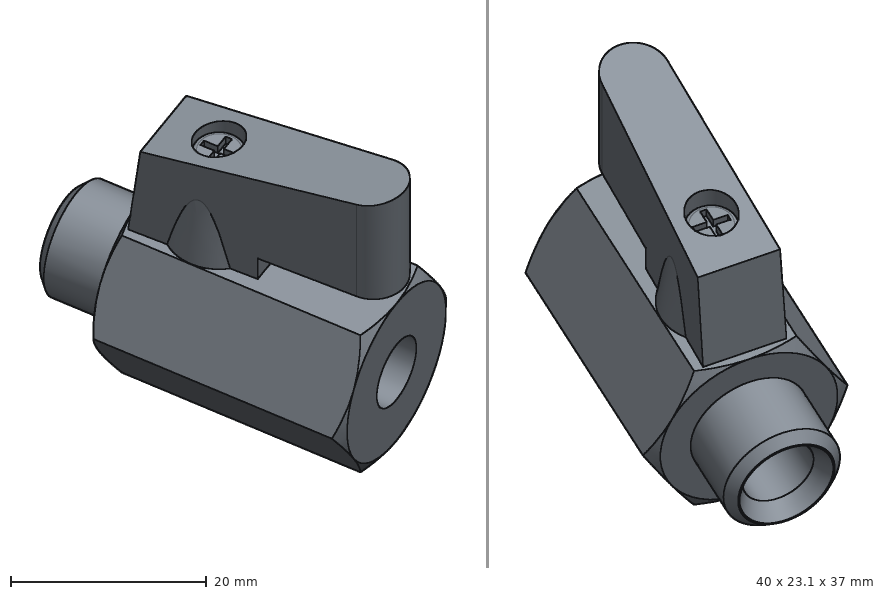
import cadquery as cq
import math


hex_flats = 20.0
hex_start = 9.0
hex_length = 30.0
hex_corners = hex_flats / math.cos(math.radians(30))
hex_chamfer_angle = 30.0
spigot_diameter = 13.15
spigot_chamfer = 1.1
bore_diameter = 8.0
bore_mouth_diameter = 10.55
bore_mouth_depth = 2.0

overall_length = 40.0
seat_z = hex_flats / 2
handle_base_x = 10.0
handle_back_top_x = 11.4
handle_back_top_z = 22.0
handle_tip_z = 27.0
grip_clearance = 3.0
foot_end_x = 25.0
handle_back_width = 9.4
nose_radius = 3.7
boss_x = 18.0
boss_base_diameter = 11.45
boss_top_diameter = 7.8
boss_height = 11.3

head_diameter = 5.6
head_top_z = 21.6
head_height = 2.0
head_edge_round = 0.5
cross_length = 3.95
cross_width = 0.7
cross_depth = 1.0


def make_hex_block():
    """Hexagonal bar along X, flats up and down, with its corners coned off at both ends."""
    bar = (
        cq.Workplane("YZ")
        .workplane(offset=hex_start)
        .polygon(6, hex_corners)
        .extrude(hex_length)
    )
    hex_end = hex_start + hex_length
    face_radius = hex_flats / 2
    corner_radius = hex_corners / 2
    chamfer_length = (corner_radius - face_radius) * math.tan(math.radians(hex_chamfer_angle))
    envelope = (
        cq.Workplane("XY")
        .moveTo(hex_start, 0)
        .lineTo(hex_start, face_radius)
        .lineTo(hex_start + chamfer_length, corner_radius)
        .lineTo(hex_end - chamfer_length, corner_radius)
        .lineTo(hex_end, face_radius)
        .lineTo(hex_end, 0)
        .close()
        .revolve(360, (0, 0, 0), (1, 0, 0))
    )
    return bar.intersect(envelope)


def make_bore():
    """Through bore with a conical mouth at the spigot end."""
    hex_end = hex_start + hex_length
    return (
        cq.Workplane("XY")
        .lineTo(0, bore_mouth_diameter / 2)
        .lineTo(bore_mouth_depth, bore_diameter / 2)
        .lineTo(hex_end, bore_diameter / 2)
        .lineTo(hex_end, 0)
        .close()
        .revolve(360, (0, 0, 0), (1, 0, 0))
    )


def make_housing():
    """Hexagonal valve housing with a round spigot."""
    spigot = (
        cq.Workplane("YZ")
        .circle(spigot_diameter / 2)
        .extrude(hex_start)
        .faces("<X")
        .chamfer(spigot_chamfer)
    )
    return make_hex_block().union(spigot).cut(make_bore())


def make_lever():
    """Tapered lever: the side outline limited by the plan outline."""
    grip_z = seat_z + grip_clearance
    side = (
        cq.Workplane("XZ")
        .moveTo(handle_base_x, seat_z)
        .lineTo(foot_end_x, seat_z)
        .lineTo(foot_end_x, grip_z)
        .lineTo(overall_length, grip_z)
        .lineTo(overall_length, handle_tip_z)
        .lineTo(handle_back_top_x, handle_back_top_z)
        .close()
        .extrude(handle_back_width / 2, both=True)
    )

    half_width = handle_back_width / 2
    nose_x = overall_length - nose_radius
    run = nose_x - handle_base_x
    corner_distance = math.hypot(run, half_width)
    tangent_angle = math.atan2(half_width, -run) - math.acos(nose_radius / corner_distance)
    tangent_x = nose_x + nose_radius * math.cos(tangent_angle)
    tangent_y = nose_radius * math.sin(tangent_angle)
    plan = (
        cq.Workplane("XY")
        .workplane(offset=seat_z)
        .moveTo(handle_base_x, -half_width)
        .lineTo(tangent_x, -tangent_y)
        .threePointArc((overall_length, 0), (tangent_x, tangent_y))
        .lineTo(handle_base_x, half_width)
        .close()
        .extrude(handle_tip_z - seat_z)
    )
    return side.intersect(plan)


def make_handle():
    """Lever with a conical boss around the screw recess."""
    boss = cq.Workplane(
        cq.Solid.makeCone(
            boss_base_diameter / 2,
            boss_top_diameter / 2,
            boss_height,
            cq.Vector(boss_x, 0, seat_z),
        )
    )
    recess = (
        cq.Workplane("XY")
        .workplane(offset=head_top_z - head_height)
        .center(boss_x, 0)
        .circle(head_diameter / 2)
        .extrude(handle_tip_z - head_top_z + head_height)
    )
    return make_lever().union(boss).cut(recess)


def make_screw():
    """Round-edged screw head with a cross slot, filling the bottom of the recess."""
    head = (
        cq.Workplane("XY")
        .workplane(offset=head_top_z - head_height)
        .center(boss_x, 0)
        .circle(head_diameter / 2)
        .extrude(head_height)
        .faces(">Z")
        .edges()
        .fillet(head_edge_round)
    )
    for length, width in ((cross_length, cross_width), (cross_width, cross_length)):
        slot = (
            cq.Workplane("XY")
            .workplane(offset=head_top_z - cross_depth)
            .center(boss_x, 0)
            .rect(length, width)
            .extrude(cross_depth)
        )
        head = head.cut(slot)
    return head


housing = make_housing()
handle = make_handle()
screw = make_screw()

result = cq.Compound.makeCompound([housing.val(), handle.val(), screw.val()])